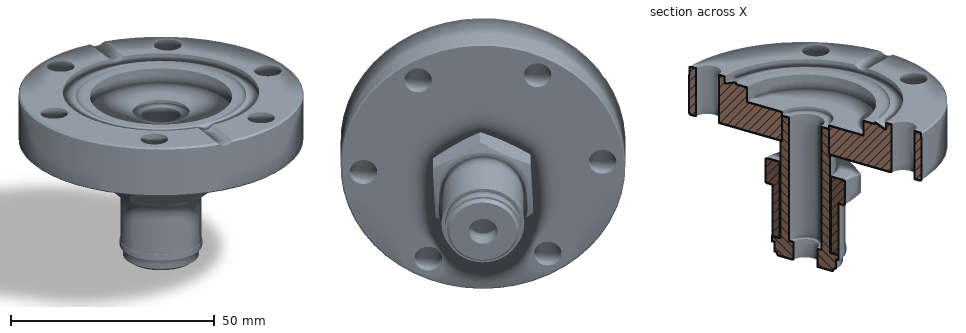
import cadquery as cq
import math

flange_radius = 35.0
flange_bottom = -13.0
flange_chamfer = 0.4

seal_radius = 24.15
seal_floor = -1.9
knife_radius = 20.9
knife_tip = -0.7
land_radius = 20.7
land_level = -1.2
pocket_radius = 17.5
pocket_floor = -5.1

bolt_count = 6
bolt_diameter = 6.8
bolt_circle_radius = 29.4
first_bolt_angle = 90.0
groove_width = 4.0
groove_depth = 1.0

spigot_radius = 7.0
spigot_top = -6.1
neck_radius = 15.2 / 2
collar_radius = 20.3 / 2
collar_bottom = -40.75
head_radius = 18.7 / 2
head_bottom = -43.25
bead_radius = 8.8
bead_end_radius = 8.2
gland_bottom = -44.1
bore_radius = 9.6 / 2
outlet_radius = 7.1 / 2

nut_top = -18.7
hex_bottom = -25.5
nut_bottom = -39.2
hex_across_flats = 24.0
hex_face_radius = 11.4
hex_corner_drop = 1.0
thread_radius = 20.0 / 2
nut_bore_radius = 15.5 / 2

hex_corner_radius = hex_across_flats / math.sqrt(3)


def revolve_profile(points):
    """Revolve a closed outline of (radius, z) points about the Z axis."""
    return cq.Workplane("XZ").polyline(points).close().revolve(360, (0, 0), (0, 1))


def make_leak_grooves():
    """Round-bottomed bar that cuts both grooves across the rim along X."""
    radius = ((groove_width / 2) ** 2 + groove_depth ** 2) / (2 * groove_depth)
    return (
        cq.Workplane("YZ")
        .center(0, radius - groove_depth)
        .circle(radius)
        .extrude(flange_radius, both=True)
        .cut(cq.Workplane("XY").circle(seal_radius).extrude(2 * radius, both=True))
    )


def make_flange():
    rim_radius = flange_radius - flange_chamfer
    body = revolve_profile([
        (spigot_radius, flange_bottom),
        (rim_radius, flange_bottom),
        (flange_radius, flange_bottom + flange_chamfer),
        (flange_radius, -flange_chamfer),
        (rim_radius, 0),
        (seal_radius, 0),
        (seal_radius, seal_floor),
        (knife_radius, knife_tip),
        (land_radius, land_level),
        (pocket_radius, land_level),
        (pocket_radius, pocket_floor),
        (spigot_radius, pocket_floor),
    ])
    bolt_holes = (
        cq.Workplane("XY")
        .polarArray(bolt_circle_radius, first_bolt_angle, 360, bolt_count)
        .circle(bolt_diameter / 2)
        .extrude(flange_bottom)
    )
    return body.cut(bolt_holes).cut(make_leak_grooves())


def make_gland():
    return revolve_profile([
        (bore_radius, spigot_top),
        (spigot_radius, spigot_top),
        (spigot_radius, flange_bottom),
        (neck_radius, flange_bottom),
        (neck_radius, nut_bottom),
        (collar_radius, nut_bottom),
        (collar_radius, collar_bottom),
        (head_radius, collar_bottom),
        (head_radius, head_bottom),
        (bead_radius, head_bottom),
        (bead_end_radius, gland_bottom),
        (outlet_radius, gland_bottom),
        (outlet_radius, nut_bottom),
        (bore_radius, nut_bottom),
    ])


def make_nut():
    hexagon = (
        cq.Workplane("XY", origin=(0, 0, hex_bottom))
        .polygon(6, 2 * hex_corner_radius)
        .extrude(nut_top - hex_bottom)
    )
    corner_trim = revolve_profile([
        (0, hex_bottom),
        (hex_face_radius, hex_bottom),
        (hex_corner_radius, hex_bottom + hex_corner_drop),
        (hex_corner_radius, nut_top - hex_corner_drop),
        (hex_face_radius, nut_top),
        (0, nut_top),
    ])
    barrel = (
        cq.Workplane("XY", origin=(0, 0, nut_bottom))
        .circle(thread_radius)
        .extrude(hex_bottom - nut_bottom)
    )
    bore = (
        cq.Workplane("XY", origin=(0, 0, nut_bottom))
        .circle(nut_bore_radius)
        .extrude(nut_top - nut_bottom)
    )
    return hexagon.intersect(corner_trim).union(barrel).cut(bore)


flange = make_flange()
gland = make_gland()
nut = make_nut()

result = cq.Compound.makeCompound([flange.val(), gland.val(), nut.val()])